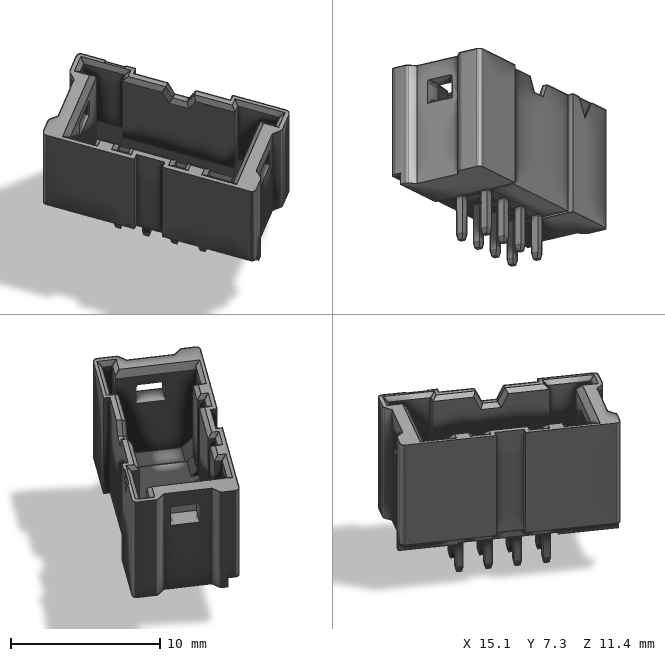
import cadquery as cq
import math

length = 15.1
width = 7.3
housing_height = 8.41
half_length = length / 2
half_width = width / 2
corner_radius = 0.3

end_recess_x = 7.04
end_recess_back_y = 1.43
end_recess_front_y = -1.84
end_recess_depth = half_length - end_recess_x
back_recess_half_length = 3.45
back_recess_y = 3.22
front_recess_half_length = 1.0
front_recess_y = -3.2

rabbet_y = -2.85
rabbet_height = 0.8

ear_x = 6.95
ear_front_y = 2.4
ear_back_y = 3.11
shoulder_x = 5.8
middle_x = 4.0
middle_back_y = 2.55
middle_front_y = -2.55
pocket_front_y = -3.1
slot_outer_x = 2.42
slot_inner_x = 1.63
slot_front_y = -3.05

lead_in = 0.3
shoulder_lead_in = 0.38
shoulder_lead_in_height = 0.48

floor_z = 1.51
pocket_drop = 0.29
floor_half_width = 2.13
pocket_floor_half_width = 2.08
slot_floor_y = -2.66

notch_top_half_length = 1.01
notch_bottom_half_length = 0.51
notch_depth = 1.0
notch_overshoot = 0.75

window_back_y = 1.0
window_front_y = -1.01
window_top_z = housing_height - 1.21
window_bottom_z = housing_height - 2.85
window_radius = 0.18

mark_x = -4.86
mark_length = 1.5
mark_height = mark_length * math.sqrt(3) / 2
mark_depth = 0.09

pin_columns = 4
pin_rows = 2
pin_span = 6.0
pitch = pin_span / (pin_columns - 1)
pin_size = 0.5
pin_drop = 2.99
pin_tip_length = 0.4
pin_tip_size = 0.33
relief_height = 0.14
relief_clearance = 0.18
standoff_half_width = pitch / 2 + pin_size / 2


def box(x_min, x_max, y_min, y_max, z_min, z_max):
    """Box given by its limits along each axis."""
    size = (x_max - x_min, y_max - y_min, z_max - z_min)
    return cq.Workplane("XY").box(*size, centered=False).translate((x_min, y_min, z_min))


def mirrored_outline(right_half):
    """Complete an outline whose right half runs from its front end to its back end."""
    left_half = [(-x, y) for x, y in reversed(right_half)]
    return right_half + left_half


def housing_block():
    """Outer housing with recessed walls and rounded end corners."""
    outline = mirrored_outline([
        (front_recess_half_length, front_recess_y),
        (front_recess_half_length, -half_width),
        (half_length, -half_width),
        (half_length, end_recess_front_y - end_recess_depth),
        (end_recess_x, end_recess_front_y),
        (end_recess_x, end_recess_back_y),
        (half_length, end_recess_back_y + end_recess_depth),
        (half_length, half_width),
        (back_recess_half_length, half_width),
        (back_recess_half_length, back_recess_y),
    ])
    block = cq.Workplane("XY").polyline(outline).close().extrude(housing_height)
    for end_faces in ("<X", ">X"):
        block = block.faces(end_faces).edges("|Z").fillet(corner_radius)
    rabbet = box(-length, length, -width, rabbet_y, 0, rabbet_height)
    return block.cut(rabbet)


def cavity_outline(margin, shoulder_margin):
    """Cavity outline with its walls moved outward by the margins."""
    return mirrored_outline([
        (slot_inner_x - margin, middle_front_y - margin),
        (slot_inner_x - margin, slot_front_y - margin),
        (slot_outer_x + margin, slot_front_y - margin),
        (slot_outer_x + margin, middle_front_y - margin),
        (middle_x - margin, middle_front_y - margin),
        (middle_x - margin, pocket_front_y - margin),
        (shoulder_x + shoulder_margin, pocket_front_y - margin),
        (shoulder_x + shoulder_margin, ear_front_y - margin),
        (ear_x + margin, ear_front_y - margin),
        (ear_x + margin, ear_back_y + margin),
        (middle_x - margin, ear_back_y + margin),
        (middle_x - margin, middle_back_y + margin),
    ])


def shoulder_margin_at(depth):
    """Outward shift of the shoulder chamfer at a depth below the rim."""
    return shoulder_lead_in * (1 - depth / shoulder_lead_in_height)


def cavity_mouth():
    """Chamfered lead-in around the cavity rim."""
    mouth = (
        cq.Workplane("XY", origin=(0, 0, housing_height - lead_in))
        .polyline(cavity_outline(0, shoulder_margin_at(lead_in))).close()
        .workplane(offset=lead_in)
        .polyline(cavity_outline(lead_in, shoulder_lead_in)).close()
        .loft(ruled=True)
    )
    shoulder_bottom_z = housing_height - shoulder_lead_in_height
    shoulder_top_z = housing_height - lead_in
    shoulder_top_x = shoulder_x + shoulder_margin_at(lead_in)
    wedge = (
        cq.Workplane("XZ", origin=(0, ear_front_y, 0))
        .polyline([
            (-shoulder_x, shoulder_bottom_z), (shoulder_x, shoulder_bottom_z),
            (shoulder_top_x, shoulder_top_z), (-shoulder_top_x, shoulder_top_z),
        ]).close()
        .extrude(ear_front_y - pocket_front_y)
    )
    keep_clear = box(-shoulder_x, shoulder_x, -width, width, 0, housing_height)
    return mouth.union(wedge.cut(keep_clear))


def slope_fill(x_min, x_max, wall_y, foot_y, foot_z):
    """Floor wedge sloping at 45 degrees from its foot up to a cavity wall."""
    rise = abs(wall_y - foot_y)
    return (
        cq.Workplane("YZ", origin=(x_min, 0, 0))
        .polyline([(foot_y, foot_z), (wall_y, foot_z + rise), (wall_y, foot_z)]).close()
        .extrude(x_max - x_min)
    )


def cavity():
    """Mating cavity with sloped floor edges and deeper end pockets."""
    pocket_z = floor_z - pocket_drop
    void = (
        cq.Workplane("XY", origin=(0, 0, pocket_z))
        .polyline(cavity_outline(0, 0)).close()
        .extrude(housing_height - pocket_z)
    )
    flank_x = middle_x + pocket_drop
    raised_floor = (
        cq.Workplane("XZ", origin=(0, half_width, 0))
        .polyline([
            (-flank_x, pocket_z), (flank_x, pocket_z), (middle_x, floor_z), (-middle_x, floor_z),
        ]).close()
        .extrude(width)
    )
    void = void.cut(raised_floor)
    void = void.cut(slope_fill(-middle_x, middle_x, middle_back_y, floor_half_width, floor_z))
    for x_min, x_max in (
        (-middle_x, -slot_outer_x), (-slot_inner_x, slot_inner_x), (slot_outer_x, middle_x),
    ):
        void = void.cut(slope_fill(x_min, x_max, middle_front_y, -floor_half_width, floor_z))
    for side in (-1, 1):
        slot_limits = sorted((side * slot_inner_x, side * slot_outer_x))
        void = void.cut(slope_fill(*slot_limits, slot_front_y, slot_floor_y, floor_z))
        pocket_limits = sorted((side * middle_x, side * ear_x))
        void = void.cut(slope_fill(*pocket_limits, ear_back_y, pocket_floor_half_width, pocket_z))
        void = void.cut(slope_fill(*pocket_limits, pocket_front_y, -pocket_floor_half_width, pocket_z))
    return void.union(cavity_mouth())


def notch_profile(margin):
    """Notch outline with its bottom and flanks moved outward by the margin."""
    flank_angle = math.atan2(notch_depth, notch_top_half_length - notch_bottom_half_length)
    bottom_half = notch_bottom_half_length + margin * math.tan(flank_angle / 2)
    bottom_z = housing_height - notch_depth - margin
    top_z = housing_height + notch_overshoot
    top_half = bottom_half + (top_z - bottom_z) / math.tan(flank_angle)
    return [(-bottom_half, bottom_z), (bottom_half, bottom_z), (top_half, top_z), (-top_half, top_z)]


def keying_notch():
    """Trapezoidal notch in the back wall, chamfered on its inner side."""
    through = (
        cq.Workplane("XZ", origin=(0, half_width, 0))
        .polyline(notch_profile(0)).close()
        .extrude(half_width - middle_back_y)
    )
    chamfer = (
        cq.Workplane("XZ", origin=(0, middle_back_y + lead_in, 0))
        .polyline(notch_profile(0)).close()
        .workplane(offset=lead_in)
        .polyline(notch_profile(lead_in)).close()
        .loft(ruled=True)
    )
    return through.union(chamfer)


def latch_windows():
    """Window through both end walls, rounded at its two upper corners."""
    window = box(-length, length, window_front_y, window_back_y, window_bottom_z, window_top_z)
    return window.edges("|X and >Z").fillet(window_radius)


def pin_one_mark():
    """Shallow triangle on the back wall, pointing down from the rim."""
    return (
        cq.Workplane("XZ", origin=(0, half_width, 0))
        .polyline([
            (mark_x - mark_length / 2, housing_height),
            (mark_x + mark_length / 2, housing_height),
            (mark_x, housing_height - mark_height),
        ]).close()
        .extrude(mark_depth)
    )


def pin_column_positions():
    """Pin centres along X."""
    return [(column - (pin_columns - 1) / 2) * pitch for column in range(pin_columns)]


def standoff_relief():
    """Shallow relief under the housing that leaves a standoff between pin columns."""
    columns = pin_column_positions()
    reach = pin_size / 2 + relief_clearance
    relief = box(columns[0] - reach, columns[-1] + reach, -width, width, 0, relief_height)
    for left, right in zip(columns, columns[1:]):
        relief = relief.cut(box(
            left + reach, right - reach, -standoff_half_width, standoff_half_width, 0, relief_height,
        ))
    return relief


def pins():
    """One square pin with a tapered tip for every column and row."""
    tip_start = pin_tip_length - pin_drop
    centres = [
        (x, (row - (pin_rows - 1) / 2) * pitch)
        for x in pin_column_positions() for row in range(pin_rows)
    ]
    shank = box(-pin_size / 2, pin_size / 2, -pin_size / 2, pin_size / 2, tip_start, relief_height)
    tip = (
        cq.Workplane("XY", origin=(0, 0, tip_start)).rect(pin_size, pin_size)
        .workplane(offset=-pin_tip_length).rect(pin_tip_size, pin_tip_size)
        .loft(ruled=True)
    )
    pin = shank.union(tip).val()
    return [pin.moved(cq.Location(cq.Vector(x, y, 0))) for x, y in centres]


housing = (
    housing_block()
    .cut(cavity())
    .cut(keying_notch())
    .cut(latch_windows())
    .cut(pin_one_mark())
    .cut(standoff_relief())
)
result = housing
for pin in pins():
    result = result.union(cq.Workplane(pin))